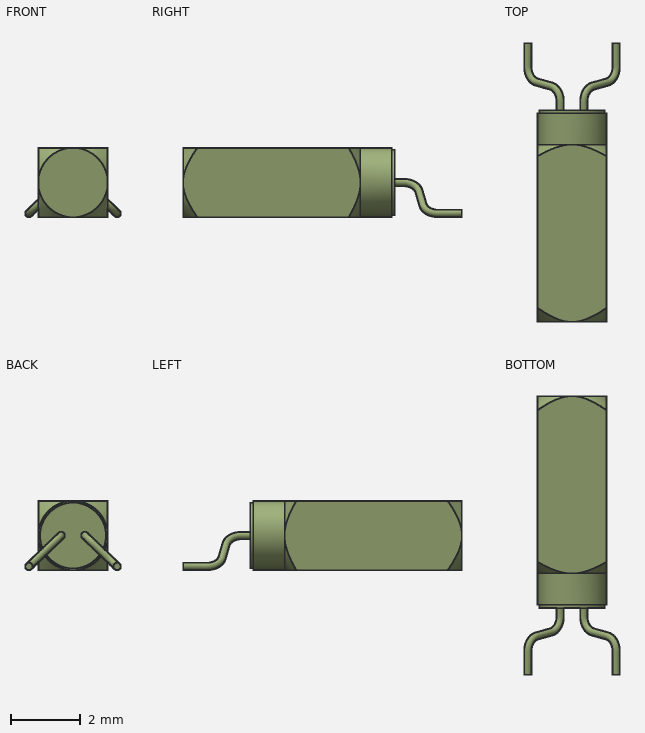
import cadquery as cq
import math

total_length = 8.02
body_width = 2.0
body_length = 5.1
front_corner_depth = 0.41
rear_corner_depth = 0.34

collar_length = 0.91
cap_diameter = 1.89
cap_thickness = 0.09

lead_diameter = 0.22
lead_pitch = 0.68
lead_tip_span = 2.76
lead_root_length = 0.25
lead_tip_length = 0.68
lead_bend_radius = 0.45

front_y = -total_length / 2
rear_y = front_y + body_length
collar_end_y = rear_y + collar_length
cap_end_y = collar_end_y + cap_thickness
tip_y = front_y + total_length
body_radius = body_width / 2
corner_radius = body_radius * math.sqrt(2)


def rod_along_y(diameter, start_y, length):
    """Round rod on the Y axis, growing toward +Y."""
    return cq.Workplane("XZ", origin=(0, start_y, 0)).circle(diameter / 2).extrude(-length)


def make_body():
    """Square bar whose end corners are trimmed by cones."""
    bar = cq.Workplane("XY").box(body_width, body_length, body_width)
    bar = bar.translate((0, front_y + body_length / 2, 0))
    envelope = (
        cq.Workplane("XY")
        .moveTo(0, front_y)
        .lineTo(body_radius, front_y)
        .lineTo(corner_radius, front_y + front_corner_depth)
        .lineTo(corner_radius, rear_y - rear_corner_depth)
        .lineTo(body_radius, rear_y)
        .lineTo(0, rear_y)
        .close()
        .revolve(360, (0, 0, 0), (0, 1, 0))
    )
    return bar.intersect(envelope)


def make_lead(side):
    """S-bent wire leaving the cap; side is +1 for +X and -1 for -X."""
    root_x = lead_pitch / 2
    shift_x = (lead_tip_span - lead_diameter) / 2 - root_x
    shift_z = -(body_width - lead_diameter) / 2
    offset = math.hypot(shift_x, shift_z)
    plane = cq.Plane(
        origin=(side * root_x, 0, 0),
        xDir=(0, 1, 0),
        normal=cq.Vector(0, 1, 0).cross(cq.Vector(side * shift_x, 0, shift_z)),
    )

    radius = lead_bend_radius
    bend_start = cap_end_y + lead_root_length
    bend_end = tip_y - lead_tip_length
    run = bend_end - bend_start
    rise = offset - 2 * radius
    middle_length = math.sqrt(run**2 + rise**2 - (2 * radius) ** 2)
    bend_angle = math.atan2(rise, run) + math.atan2(2 * radius, middle_length)

    def bend_reach(angle):
        return radius * math.sin(angle), radius * (1 - math.cos(angle))

    half_along, half_across = bend_reach(bend_angle / 2)
    full_along, full_across = bend_reach(bend_angle)
    path = (
        cq.Workplane(plane)
        .moveTo(cap_end_y, 0)
        .lineTo(bend_start, 0)
        .threePointArc(
            (bend_start + half_along, half_across),
            (bend_start + full_along, full_across),
        )
        .lineTo(bend_end - full_along, offset - full_across)
        .threePointArc(
            (bend_end - half_along, offset - half_across),
            (bend_end, offset),
        )
        .lineTo(tip_y, offset)
    )
    section = cq.Workplane("XZ", origin=(side * root_x, cap_end_y, 0)).circle(lead_diameter / 2)
    return section.sweep(path)


collar = rod_along_y(body_width, rear_y, collar_length)
cap = rod_along_y(cap_diameter, collar_end_y, cap_thickness)

result = make_body().union(collar).union(cap)
for lead_side in (-1, 1):
    result = result.union(make_lead(lead_side))